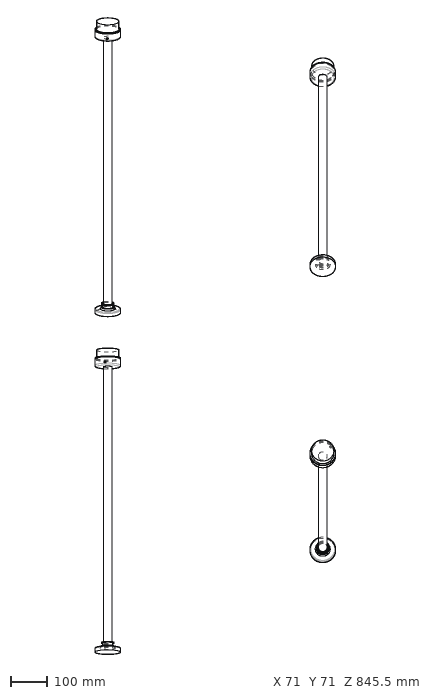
import cadquery as cq
import math

total_height = 845.5
rod_diameter = 24.5

flange_diameter = 71.0
flange_height = 12.0
flange_edge_radius = 2.5
hub_base_diameter = 41.5
hub_diameter = 35.5
hub_cone_top = 16.0
hub_height = 17.0
neck_diameter = 29.0
collar_bottom = 25.0
collar_top = 27.0

housing_diameter = 71.0
housing_bottom = 798.0
housing_top = 823.0
housing_edge_radius = 4.0
cap_diameter = 62.0
seam_diameter = 70.0
seam_height = 2.5

side_hole_diameter = 5.2
side_hole_depth = 5.0
side_hole_height = 806.0
side_hole_angle = -64.0


def cylinder(diameter, bottom, top):
    """Vertical cylinder on the main axis between two heights."""
    return cq.Workplane("XY").workplane(offset=bottom).circle(diameter / 2).extrude(top - bottom)


def make_foot():
    """Round flange with a conical hub, a neck and a collar."""
    flange = cylinder(flange_diameter, 0, flange_height).faces(">Z").edges().fillet(flange_edge_radius)
    cone = (
        cq.Workplane("XY")
        .workplane(offset=flange_height)
        .circle(hub_base_diameter / 2)
        .workplane(offset=hub_cone_top - flange_height)
        .circle(hub_diameter / 2)
        .loft()
    )
    hub = cylinder(hub_diameter, hub_cone_top, hub_height)
    neck = cylinder(neck_diameter, hub_height, collar_bottom)
    collar = cylinder(hub_diameter, collar_bottom, collar_top)
    return flange.union(cone).union(hub).union(neck).union(collar)


def make_side_hole():
    """Blind radial cutter for the hole in the housing wall."""
    angle = math.radians(side_hole_angle)
    outward = cq.Vector(math.cos(angle), math.sin(angle), 0)
    start = outward * (housing_diameter / 2 - side_hole_depth) + cq.Vector(0, 0, side_hole_height)
    return cq.Solid.makeCylinder(side_hole_diameter / 2, 2 * side_hole_depth, start, outward)


def make_head():
    """Housing with a rounded underside, a thin stepped rim and the cap."""
    rim_bottom = housing_top - seam_height
    housing = cylinder(housing_diameter, housing_bottom, rim_bottom)
    housing = housing.faces("<Z").edges().fillet(housing_edge_radius)
    rim = cylinder(seam_diameter, rim_bottom, housing_top)
    cap = cylinder(cap_diameter, housing_top, total_height)
    return housing.union(rim).union(cap).cut(make_side_hole())


rod = cylinder(rod_diameter, 0, housing_top)
result = rod.union(make_foot()).union(make_head())